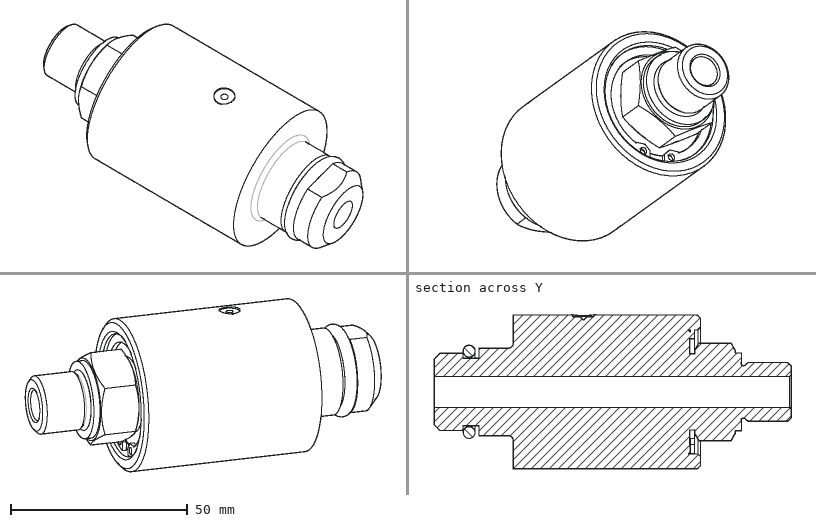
import cadquery as cq
import math

LENGTH = 101.2
BORE_D = 8.7
BORE_MOUTH_D = 9.8

THREAD_D = 16.7
THREAD_CHAMFER = 1.0
THREAD_END = 12.3
RUNOUT_D = 15.6
RUNOUT_END = 13.0
COLLAR_D = 22.2
COLLAR_START = 14.1
RELIEF_ROOT_D = 15.4
RELIEF_MOUTH_D = 17.3
HEX_START = 15.9
HEX_END = 27.4
SHOULDER_D = 21.7
HEX_FLATS = 24.0
HEX_CORNERS = HEX_FLATS / math.cos(math.pi / 6)
HEX_FACE_D = 23.6
HEX_CHAMFER_ANGLE = math.radians(30)

HOUSING_D = 43.7
HOUSING_START = 25.7
HOUSING_END = 78.9
HOUSING_CHAMFER = 1.0

RECESS_D = 35.1
RECESS_CHAMFER = 0.76
RING_START = HOUSING_START + 1.7
RING_THICKNESS = 1.2
RING_END = RING_START + RING_THICKNESS
RECESS_STEP_D = 30.2
RECESS_STEP = 0.2
CORNER_GROOVE = 0.5
RECESS_FLOOR = RING_END + RECESS_STEP

RING_GAP = 4.7
LUG_OUTER_HALF_WIDTH = 6.9
LUG_INNER_HALF_WIDTH = 4.0
LUG_TOP_Z = -13.2
LUG_CORNER_Z = -14.9
EYE_D = 2.0
EYE_Y = 4.6
EYE_Z = -15.3

SPOT_X = 58.9
SPOT_D = 6.0
SPOT_DEPTH = 0.5
DIMPLE_D = 2.0
DIMPLE_DEPTH = DIMPLE_D / 2

SPIGOT_D = 24.9
SPIGOT_ROOT_RADIUS = 1.3
GROOVE_D = 19.2
GROOVE_START = 88.6
GROOVE_END = 93.0
LEAD_IN = 3.1
SPIGOT_FLATS = 22.0

O_RING_OUTER_D = 26.5
O_RING_SECTION_D = 3.4


def cylinder(diameter, start, end):
    """A cylinder about the X axis between two positions along X."""
    return cq.Workplane("YZ", origin=(start, 0, 0)).circle(diameter / 2).extrude(end - start)


def cone(start, start_d, end, end_d):
    """A truncated cone about the X axis."""
    profile = [(start, 0), (start, start_d / 2), (end, end_d / 2), (end, 0)]
    return turned(cq.Workplane("XY").polyline(profile).close())


def turned(outline):
    """A closed outline in the XY plane, turned about the X axis."""
    return outline.revolve(360, (0, 0, 0), (1, 0, 0))


def make_nipple():
    """Thread, conical run-out, rounded relief and collar as one turned shape."""
    return turned(
        cq.Workplane("XY")
        .moveTo(0, 0)
        .lineTo(0, THREAD_D / 2 - THREAD_CHAMFER)
        .lineTo(THREAD_CHAMFER, THREAD_D / 2)
        .lineTo(THREAD_END, THREAD_D / 2)
        .lineTo(RUNOUT_END, RUNOUT_D / 2)
        .threePointArc((COLLAR_START, RELIEF_ROOT_D / 2), (COLLAR_START, RELIEF_MOUTH_D / 2))
        .lineTo(COLLAR_START, COLLAR_D / 2)
        .lineTo(HEX_START, COLLAR_D / 2)
        .lineTo(HEX_START, 0)
        .close()
    )


def make_hexagon():
    """Hexagon with corners up and down, chamfered at both ends by cones, on a round shoulder."""
    hexagon = (
        cq.Workplane("YZ", origin=(HEX_START, 0, 0))
        .polygon(6, HEX_CORNERS)
        .extrude(HEX_END - HEX_START)
        .rotate((0, 0, 0), (1, 0, 0), 90)
    )
    chamfer_length = (HEX_CORNERS - HEX_FACE_D) / 2 * math.tan(HEX_CHAMFER_ANGLE)
    front_edge = HEX_START + chamfer_length
    back_edge = HEX_END - chamfer_length
    envelope = (
        cone(HEX_START, HEX_FACE_D, front_edge, HEX_CORNERS)
        .union(cylinder(HEX_CORNERS, front_edge, back_edge))
        .union(cone(back_edge, HEX_CORNERS, HEX_END, HEX_FACE_D))
    )
    shoulder = cylinder(SHOULDER_D, HEX_END, RECESS_FLOOR)
    return hexagon.intersect(envelope).union(shoulder)


def make_housing():
    housing = cylinder(HOUSING_D, HOUSING_START, HOUSING_END).faces("<X").chamfer(HOUSING_CHAMFER)
    recess_mouth = cone(
        HOUSING_START, RECESS_D + 2 * RECESS_CHAMFER, HOUSING_START + RECESS_CHAMFER, RECESS_D
    )
    return (
        housing.cut(recess_mouth)
        .cut(cylinder(RECESS_D, HOUSING_START, RING_END))
        .cut(cylinder(RECESS_STEP_D, RING_END, RECESS_FLOOR))
        .cut(make_corner_groove())
        .cut(make_spot())
    )


def make_corner_groove():
    """V groove in the corner behind the retaining ring, open at the ring's gap."""
    groove_end = RING_END + CORNER_GROOVE
    land = cone(RING_END, RECESS_D - 2 * CORNER_GROOVE, groove_end, RECESS_D)
    return cylinder(RECESS_D, RING_END, groove_end).cut(land)


def make_spot():
    """Flat-bottomed spot with a conical dimple in its middle."""
    floor_z = HOUSING_D / 2 - SPOT_DEPTH
    profile = [
        (0, floor_z - DIMPLE_DEPTH),
        (DIMPLE_D / 2, floor_z),
        (SPOT_D / 2, floor_z),
        (SPOT_D / 2, HOUSING_D / 2),
        (0, HOUSING_D / 2),
    ]
    spot = cq.Workplane("XZ").polyline(profile).close().revolve(360, (0, 0, 0), (0, 1, 0))
    return spot.translate((SPOT_X, 0, 0))


def make_retaining_ring():
    workplane = cq.Workplane("YZ", origin=(RING_START, 0, 0))
    band = workplane.circle(RECESS_D / 2).circle(RECESS_STEP_D / 2).extrude(RING_THICKNESS)
    rim_z = -RECESS_D / 2
    lugs = (
        workplane.polyline(
            [
                (-LUG_OUTER_HALF_WIDTH, rim_z),
                (-LUG_OUTER_HALF_WIDTH, LUG_TOP_Z),
                (-LUG_INNER_HALF_WIDTH, LUG_TOP_Z),
                (-RING_GAP / 2, LUG_CORNER_Z),
                (RING_GAP / 2, LUG_CORNER_Z),
                (LUG_INNER_HALF_WIDTH, LUG_TOP_Z),
                (LUG_OUTER_HALF_WIDTH, LUG_TOP_Z),
                (LUG_OUTER_HALF_WIDTH, rim_z),
            ]
        )
        .close()
        .extrude(RING_THICKNESS)
        .intersect(cylinder(RECESS_D, RING_START, RING_END))
    )
    gap_height = RECESS_D / 2 + LUG_TOP_Z
    gap = (
        workplane.center(0, LUG_TOP_Z - gap_height / 2)
        .rect(RING_GAP, gap_height)
        .extrude(RING_THICKNESS)
    )
    eyes = workplane.pushPoints([(-EYE_Y, EYE_Z), (EYE_Y, EYE_Z)]).circle(EYE_D / 2)
    return band.union(lugs).cut(gap).cut(eyes.extrude(RING_THICKNESS))


def make_spigot():
    radius = SPIGOT_D / 2
    root = SPIGOT_ROOT_RADIUS
    root_fillet = turned(
        cq.Workplane("XY")
        .moveTo(HOUSING_END, 0)
        .lineTo(HOUSING_END, radius + root)
        .radiusArc((HOUSING_END + root, radius), -root)
        .lineTo(HOUSING_END + root, 0)
        .close()
    )
    shank = cylinder(SPIGOT_D, HOUSING_END, GROOVE_START)
    groove_core = cylinder(GROOVE_D, GROOVE_START, GROOVE_END)
    head = cylinder(SPIGOT_D, GROOVE_END, LENGTH).faces(">X").chamfer(LEAD_IN)
    wrench_flats = cq.Workplane("XY").box(2 * LENGTH, SPIGOT_D, SPIGOT_FLATS)
    head = head.intersect(wrench_flats)
    return shank.union(root_fillet).union(groove_core).union(head)


def make_union_body():
    """The rotary union without its seal: all turned and milled metal as one solid."""
    bore = cylinder(BORE_D, 0, LENGTH)
    bore_mouth = cone(0, BORE_MOUTH_D, (BORE_MOUTH_D - BORE_D) / 2, BORE_D)
    return (
        make_housing()
        .union(make_retaining_ring())
        .union(make_hexagon())
        .union(make_nipple())
        .union(make_spigot())
        .cut(bore)
        .cut(bore_mouth)
    )


def make_o_ring():
    section_radius = O_RING_SECTION_D / 2
    center_radius = O_RING_OUTER_D / 2 - section_radius
    center_x = GROOVE_END - section_radius
    torus = cq.Solid.makeTorus(
        center_radius, section_radius, cq.Vector(center_x, 0, 0), cq.Vector(1, 0, 0)
    )
    return cq.Workplane(obj=torus)



union_body = make_union_body()
o_ring = make_o_ring()

result = cq.Compound.makeCompound([union_body.val(), o_ring.val()])